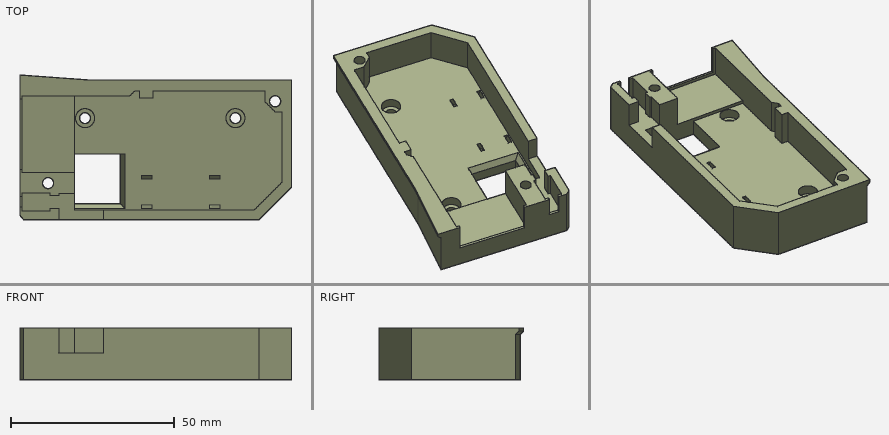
import cadquery as cq

length = 83.0
height = 15.85
rear_edge = 42.75
rear_flare = 1.5
flare_length = 20.75
front_corner = (1.2, 1.4)
right_corner = 10.0

lip_overhang = 1.0
lip_height = 1.0

floor_z = 5.0
step = 1.0
pad_z = floor_z + step
left_notch_z = pad_z + step
front_notch_z = 8.2
connector_notch_z = 9.3

wall = 3.0
left_wall = 0.75
cavity_right = length - wall
cavity_rear = 39.35
cavity_corner = 8.5
pad_right = 16.8
pad_front = 14.45
pad_rear = 37.8
thick_wall_end = 33.5
rib_left, rib_right, rib_front = 36.5, 40.6, 37.2
post_left, post_front = 74.8, 32.95
post_bevel = 3.15

left_notch_front, left_notch_rear = 15.35, 36.85
connector_front, connector_rear = 4.0, 7.05
front_notch_left, front_notch_right = 11.95, 25.5

pocket_front, pocket_rear, pocket_right = 2.7, 8.2, 9.3
neck_front, neck_rear = 3.5, 7.5
block_inner_face = 8.0

window_right, window_front, window_rear = 30.6, 5.0, 20.1
window_bevel = 1.5

screw_diameter = 3.3
mount_diameter = 3.2
mount_recess_diameter = 5.8
screw_points = [(8.6, 11.2), (77.9, 36.2)]
mount_points = [(19.9, 31.05), (65.8, 31.05)]
mount_recess_depth = 3.0

tie_left_edges = [37.2, 57.9]
tie_width = 3.15
tie_thickness = 1.0
tie_outer_radius = 5.15
tie_center_y = 8.5
tie_center_z = floor_z + 1.1



def box(x0, x1, y0, y1, z0, z1):
    """Block given by its limits along each axis."""
    return cq.Workplane("XY").box(x1 - x0, y1 - y0, z1 - z0, centered=False).translate((x0, y0, z0))


def prism(points, z0, z1):
    """Vertical prism over a closed outline."""
    return cq.Workplane("XY").workplane(offset=z0).polyline(points).close().extrude(z1 - z0)


def outer_outline(inset):
    """Plan outline with the rear edge moved forward by inset."""
    rear = rear_edge - inset
    return [
        (front_corner[0], 0),
        (length - right_corner, 0),
        (length, right_corner),
        (length, rear),
        (flare_length, rear),
        (0, rear + rear_flare),
        (0, front_corner[1]),
    ]


def make_body():
    slope_top = height - lip_height
    slope_bottom = slope_top - lip_overhang
    lower = prism(outer_outline(lip_overhang), 0, slope_bottom)
    slope = (
        cq.Workplane("XY").workplane(offset=slope_bottom)
        .polyline(outer_outline(lip_overhang)).close()
        .workplane(offset=lip_overhang)
        .polyline(outer_outline(0)).close()
        .loft(ruled=True)
    )
    rim = prism(outer_outline(0), slope_top, height)
    return lower.union(slope).union(rim)


def make_cavity():
    thick_wall_slope = cavity_rear - pad_rear
    main = prism([
        (pad_right, wall),
        (cavity_right - cavity_corner, wall),
        (cavity_right, wall + cavity_corner),
        (cavity_right, post_front),
        (post_left + post_bevel, post_front),
        (post_left, post_front + post_bevel),
        (post_left, cavity_rear),
        (rib_right, cavity_rear),
        (rib_right, rib_front),
        (rib_left, rib_front),
        (rib_left, cavity_rear),
        (thick_wall_end + thick_wall_slope, cavity_rear),
        (thick_wall_end, pad_rear),
        (pad_right, pad_rear),
    ], floor_z, height)
    pad_space = box(left_wall, pad_right, pad_front, pad_rear, pad_z, height)
    left_notch = box(0, left_wall, left_notch_front, left_notch_rear, left_notch_z, height)
    return main.union(pad_space).union(left_notch)


def make_connector_space():
    notch = box(0, left_wall, connector_front, connector_rear, connector_notch_z, height)
    pocket = box(left_wall, pocket_right, pocket_front, pocket_rear, front_notch_z, height)
    neck = box(pocket_right, front_notch_left, neck_front, neck_rear, front_notch_z, height)
    inner = box(front_notch_left, pad_right, 0, block_inner_face, front_notch_z, height)
    front_notch = box(front_notch_left, front_notch_right, 0, wall, front_notch_z, height)
    return notch.union(pocket).union(neck).union(inner).union(front_notch)


def make_window():
    """Opening with 45 degree bevels on its front and right upper edges."""
    bevel_bottom = floor_z - window_bevel
    opening = box(pad_right, window_right, window_front, window_rear, 0, floor_z)

    def outline(growth):
        return [
            (pad_right, window_front - growth),
            (window_right + growth, window_front - growth),
            (window_right + growth, window_rear),
            (pad_right, window_rear),
        ]

    bevel = (
        cq.Workplane("XY").workplane(offset=bevel_bottom)
        .polyline(outline(0)).close()
        .workplane(offset=window_bevel)
        .polyline(outline(window_bevel)).close()
        .loft(ruled=True)
    )
    return opening.union(bevel)


def make_holes():
    screws = cq.Workplane("XY").pushPoints(screw_points).circle(screw_diameter / 2).extrude(height)
    mounts = cq.Workplane("XY").pushPoints(mount_points).circle(mount_diameter / 2).extrude(floor_z)
    recesses = (
        cq.Workplane("XY").workplane(offset=floor_z - mount_recess_depth)
        .pushPoints(mount_points).circle(mount_recess_diameter / 2).extrude(mount_recess_depth)
    )
    return screws.union(mounts).union(recesses)


def make_tie_channel(x0):
    """Part of a ring about an X axis that lies below the floor surface."""
    ring = (
        cq.Workplane("YZ").workplane(offset=x0).center(tie_center_y, tie_center_z)
        .circle(tie_outer_radius).circle(tie_outer_radius - tie_thickness)
        .extrude(tie_width)
    )
    return ring.intersect(box(0, length, 0, rear_edge, 0, floor_z))


result = make_body().cut(make_cavity()).cut(make_connector_space()).cut(make_window()).cut(make_holes())
for tie_left in tie_left_edges:
    result = result.cut(make_tie_channel(tie_left))